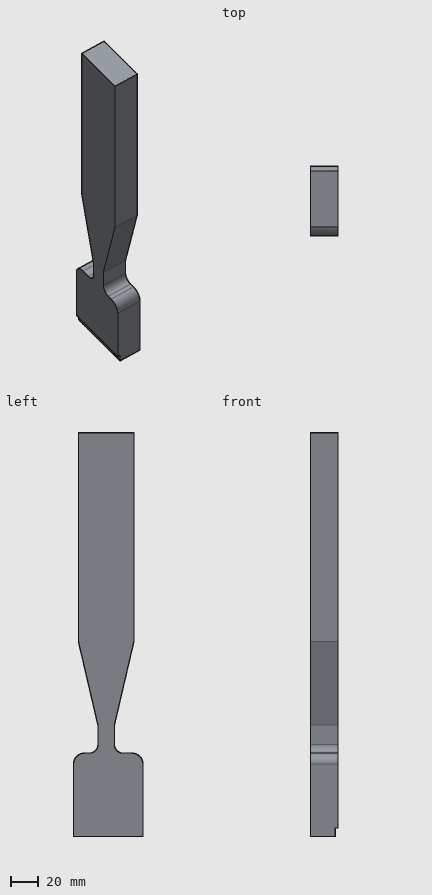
import cadquery as cq

thickness = 20.0
total_height = 290.0

head_width = 50.0
head_height = 60.0
shoulder_radius = 8.0

handle_offset = 1.5
neck_width = 12.0
neck_fillet_radius = 6.0
taper_bottom = 80.0
taper_top = 140.0
handle_width = 40.0

step_depth = 2.0
step_height = 6.0


def make_head():
    """Rectangular head with rounded shoulders."""
    return (
        cq.Workplane("YZ")
        .center(0, head_height / 2)
        .rect(head_width, head_height)
        .extrude(thickness)
        .edges("|X and >Z")
        .fillet(shoulder_radius)
    )


def make_handle():
    """Narrow neck that widens through a taper into a straight handle."""
    half_neck = neck_width / 2
    half_handle = handle_width / 2
    return (
        cq.Workplane("YZ")
        .center(handle_offset, 0)
        .moveTo(-half_neck, head_height)
        .lineTo(-half_neck, taper_bottom)
        .lineTo(-half_handle, taper_top)
        .lineTo(-half_handle, total_height)
        .lineTo(half_handle, total_height)
        .lineTo(half_handle, taper_top)
        .lineTo(half_neck, taper_bottom)
        .lineTo(half_neck, head_height)
        .close()
        .extrude(thickness)
    )


def make_step():
    """Volume removed along the bottom edge of the +X face."""
    return (
        cq.Workplane("XY")
        .box(step_depth, head_width, step_height, centered=(False, True, False))
        .translate((thickness - step_depth, 0, 0))
    )


def fillet_neck(blank):
    """Round the two inside corners where the neck meets the head."""
    corner_box = cq.selectors.BoxSelector(
        (0, handle_offset - neck_width, head_height - shoulder_radius),
        (thickness, handle_offset + neck_width, head_height + neck_fillet_radius),
    )
    return blank.edges("|X").edges(corner_box).fillet(neck_fillet_radius)


def make_paddle():
    """Head and handle in one piece, stepped along the bottom edge."""
    blank = make_head().union(make_handle())
    return fillet_neck(blank).cut(make_step())


paddle = make_paddle()
result = cq.Compound.makeCompound([paddle.solids().val()])